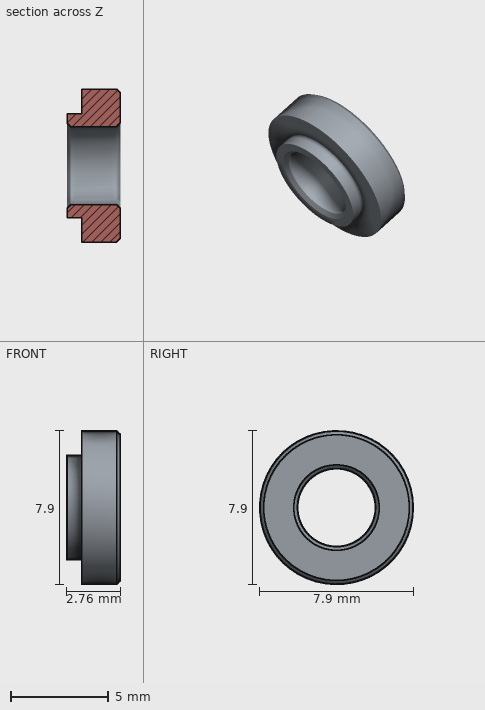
import cadquery as cq

flange_diameter = 7.9
flange_thickness = 2.0
collar_diameter = 5.38
collar_height = 0.76
bore_diameter = 4.0
rim_chamfer = 0.2
bore_chamfer = 0.2

total_length = collar_height + flange_thickness


def make_disc(diameter, start_x, length):
    """Solid cylinder along +X, starting at start_x."""
    return cq.Workplane("YZ", origin=(start_x, 0, 0)).circle(diameter / 2).extrude(length)


def make_flange():
    """Flange disc with its +X outer edge chamfered."""
    flange = make_disc(flange_diameter, collar_height, flange_thickness)
    return flange.faces(">X").chamfer(rim_chamfer)


def make_collar():
    """Narrow collar in front of the flange."""
    return make_disc(collar_diameter, 0, collar_height)


def cut_bore(body):
    """Through bore with a chamfered mouth on each end face."""
    bored = body.cut(make_disc(bore_diameter, 0, total_length))
    for end_face in ("<X", ">X"):
        mouth = bored.faces(end_face).edges(cq.selectors.RadiusNthSelector(0))
        bored = mouth.chamfer(bore_chamfer)
    return bored


result = cut_bore(make_flange().union(make_collar()))